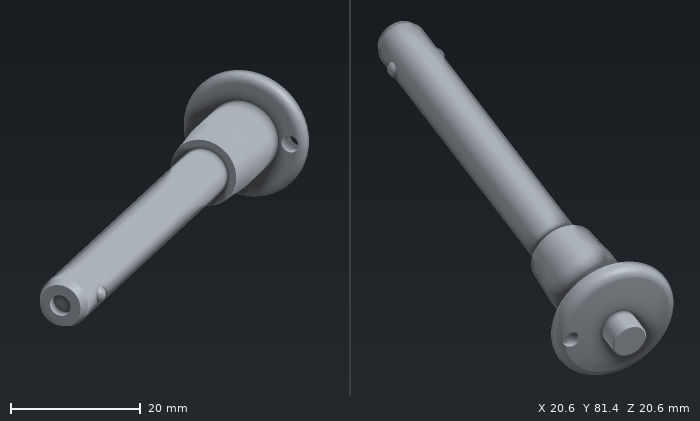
import cadquery as cq

total_length = 81.4
button_end = total_length / 2
tip_end = -total_length / 2

button_diameter = 5.8
button_chamfer = 0.25
button_height = 4.0

flange_diameter = 20.6
flange_thickness = 3.7
flange_front_fillet = 1.4
rim_band_width = 0.2
crown_radius = 97.7
crown_shoulder_diameter = 17.75
crown_shoulder_drop = 0.4

collar_diameter = 11.9
collar_straight_length = 9.4
collar_taper_length = 6.4
collar_end_diameter = 10.9

shaft_diameter = 8.0
tip_diameter = 6.75
tip_taper_length = 1.55
tip_bore_diameter = 3.4
tip_bore_depth = 1.6

ball_diameter = 2.8
ball_span = 9.5
ball_from_tip = 6.5

lanyard_hole_diameter = 2.8
lanyard_hole_offset = 7.9

flange_back = button_end - button_height
flange_front = flange_back - flange_thickness
rim_front = flange_front + flange_front_fillet
rim_back = rim_front + rim_band_width
taper_start = flange_front - collar_straight_length
collar_end = taper_start - collar_taper_length


def make_body():
    """Button, flange, collar and shaft as one half profile turned about Y."""
    rim = flange_diameter / 2
    front_flat = rim - flange_front_fillet
    crown_shoulder = crown_shoulder_diameter / 2
    button = button_diameter / 2
    return (
        cq.Workplane("XY")
        .moveTo(0, tip_end)
        .lineTo(tip_diameter / 2, tip_end)
        .lineTo(shaft_diameter / 2, tip_end + tip_taper_length)
        .lineTo(shaft_diameter / 2, collar_end)
        .lineTo(collar_end_diameter / 2, collar_end)
        .lineTo(collar_diameter / 2, taper_start)
        .lineTo(collar_diameter / 2, flange_front)
        .lineTo(front_flat, flange_front)
        .radiusArc((rim, rim_front), -flange_front_fillet)
        .lineTo(rim, rim_back)
        .tangentArcPoint((crown_shoulder, flange_back - crown_shoulder_drop), relative=False)
        .radiusArc((button, flange_back), -crown_radius)
        .lineTo(button, button_end - button_chamfer)
        .lineTo(button - button_chamfer, button_end)
        .lineTo(0, button_end)
        .close()
        .revolve(360, (0, 0, 0), (0, 1, 0))
    )


def make_cylinder_along_y(diameter, length, x, start_y):
    """Solid cylinder running from start_y toward +Y."""
    return cq.Workplane(
        cq.Solid.makeCylinder(diameter / 2, length, cq.Vector(x, start_y, 0), cq.Vector(0, 1, 0))
    )


def make_ball(side):
    """Locking ball on the +X (side = 1) or -X (side = -1) flank of the shaft."""
    offset = side * (ball_span - ball_diameter) / 2
    return cq.Workplane("XY").sphere(ball_diameter / 2).translate((offset, tip_end + ball_from_tip, 0))


result = make_body()

for side in (-1, 1):
    result = result.union(make_ball(side))

result = result.cut(make_cylinder_along_y(tip_bore_diameter, tip_bore_depth, 0, tip_end))
result = result.cut(
    make_cylinder_along_y(lanyard_hole_diameter, flange_thickness, lanyard_hole_offset, flange_front)
)